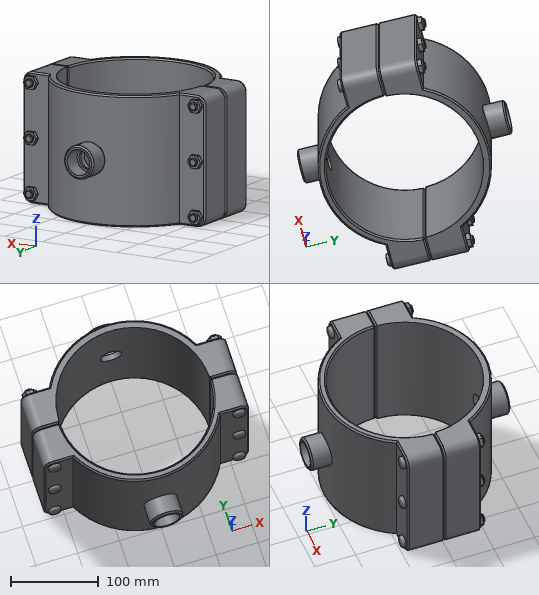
import cadquery as cq
import math

WIDTH = 245.0
HEIGHT = 154.0
BORE_RADIUS = 90.0
SHELL_RADIUS = 99.0
FLANGE_DEPTH = 45.0
CORNER_RADIUS = 12.2
EDGE_CHAMFER = 2.0

STUB_END = 122.0
STUB_ROOT = 96.8
SOCKET_FLOOR = 100.5
STUB_DIAMETER = 39.5
SOCKET_DIAMETER = 30.5
PORT_DIAMETER = 25.0

BOLT_X = 110.5
BOLT_PITCH = 65.2
BOLTS_PER_COLUMN = 3
HEAD_DIAMETER = 15.0
HEAD_HEIGHT = 4.5
HEAD_ROUNDING = 2.7
NUT_ACROSS_FLATS = 15.0
NUT_HEIGHT = 5.0
BOLT_DIAMETER = 10.0
BOLT_TIP_HEIGHT = 7.8
BOLT_TIP_CHAMFER = 1.2

TOLERANCE = 0.02


def z_cylinder(radius):
    """Full-height cylinder on the clamp axis."""
    return cq.Workplane("XY").circle(radius).extrude(HEIGHT / 2, both=True)


def y_cylinder(diameter, start, end):
    """Cylinder on the stub axis, from Y = start to Y = end."""
    return cq.Workplane("XZ", origin=(0, start, 0)).circle(diameter / 2).extrude(start - end)


def turned_to_front(body):
    """The same body turned half a turn about the clamp axis, to the -Y side."""
    return body.rotate((0, 0, 0), (0, 0, 1), 180)


def shell_blank():
    """Sharp-edged half ring with two flanges, on the +Y side."""
    flanges = (
        cq.Workplane("XY")
        .box(WIDTH, FLANGE_DEPTH, HEIGHT, centered=(True, False, True))
        .edges("|Y")
        .fillet(CORNER_RADIUS)
    )
    half_space = cq.Workplane("XY").box(WIDTH, WIDTH, HEIGHT, centered=(True, False, True))
    half_ring = z_cylinder(SHELL_RADIUS).intersect(half_space)
    return flanges.union(half_ring).cut(z_cylinder(BORE_RADIUS))


def is_sharp_outer_edge(edge):
    """False for the smooth ends of the corner fillets and the concave corners between flange and ring."""
    box = edge.BoundingBox()
    is_line = edge.geomType() == "LINE"
    fillet_end = is_line and box.ylen > TOLERANCE
    upright = is_line and box.zlen > TOLERANCE
    concave_corner = upright and abs(box.ymin - FLANGE_DEPTH) < TOLERANCE and abs(box.xmin) < SHELL_RADIUS
    return not (fillet_end or concave_corner)


def is_bore_rim(edge):
    return edge.geomType() == "CIRCLE" and abs(edge.radius() - BORE_RADIUS) < TOLERANCE


def half_shell(chamfer_bore_rims):
    """Half ring with chamfered edges and the port through its wall."""
    blank = shell_blank()
    edges = [edge for edge in blank.edges().vals() if is_sharp_outer_edge(edge)]
    if not chamfer_bore_rims:
        edges = [edge for edge in edges if not is_bore_rim(edge)]
    shell = blank.newObject(edges).chamfer(EDGE_CHAMFER)
    return shell.cut(y_cylinder(PORT_DIAMETER, 0, SHELL_RADIUS))


def pipe_stub():
    """Short pipe with a chamfered end, a socket and a narrower port."""
    stub = y_cylinder(STUB_DIAMETER, STUB_ROOT, STUB_END).faces(">Y").chamfer(EDGE_CHAMFER)
    port = y_cylinder(PORT_DIAMETER, STUB_ROOT, STUB_END)
    socket = y_cylinder(SOCKET_DIAMETER, SOCKET_FLOOR, STUB_END)
    return stub.cut(port).cut(socket)


def bolt_positions():
    """Workplane on the flange faces holding all the bolt centres."""
    flange_face = cq.Workplane("XZ", origin=(0, FLANGE_DEPTH, 0))
    return flange_face.rarray(2 * BOLT_X, BOLT_PITCH, 2, BOLTS_PER_COLUMN)


def bolt_heads():
    heads = bolt_positions().circle(HEAD_DIAMETER / 2).extrude(-HEAD_HEIGHT)
    return heads.faces(">Y").edges().fillet(HEAD_ROUNDING)


def nuts_and_bolt_tips():
    across_corners = NUT_ACROSS_FLATS / math.cos(math.pi / 6)
    nuts = bolt_positions().polygon(6, across_corners).extrude(-NUT_HEIGHT)
    tips = bolt_positions().circle(BOLT_DIAMETER / 2).extrude(-BOLT_TIP_HEIGHT)
    return nuts.union(tips.faces(">Y").chamfer(BOLT_TIP_CHAMFER))


front_half = turned_to_front(half_shell(chamfer_bore_rims=True).union(pipe_stub()).union(bolt_heads()))

stub_seat = y_cylinder(STUB_DIAMETER, STUB_ROOT, STUB_END)
back_half = half_shell(chamfer_bore_rims=False).cut(stub_seat).union(nuts_and_bolt_tips())

back_stub = pipe_stub()

bodies = [front_half, back_half, back_stub]
result = cq.Compound.makeCompound([body.solids().val() for body in bodies])